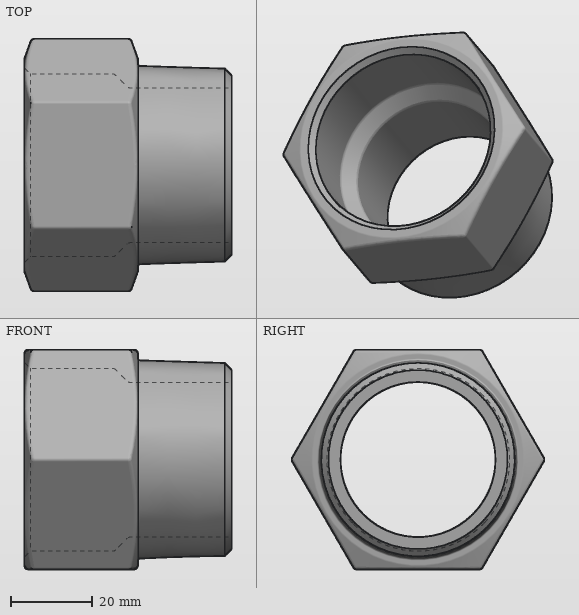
import cadquery as cq
import math

across_flats = 54.0
hex_length = 28.0
face_circle_radius = 26.0
hex_chamfer_angle = 20.0
hex_fillet = 1.0
envelope_margin = 1.0

total_length = 51.0
root_fillet = 0.4
spigot_base_radius = 24.38
taper_per_side = 1 / 32
tip_chamfer = 1.75

socket_diameter = 44.845
socket_mouth_diameter = 47.803
socket_depth = 22.1
throat_radius = 19.0
seat_fillet = 1.0

corner_radius = across_flats / math.sqrt(3)
socket_radius = socket_diameter / 2
socket_mouth_radius = socket_mouth_diameter / 2
mouth_chamfer = socket_mouth_radius - socket_radius
seat_end = socket_depth + socket_radius - throat_radius
spigot_overlap_x = hex_length / 2
spigot_start = hex_length + root_fillet
tip_start = total_length - tip_chamfer
tip_radius = spigot_base_radius - taper_per_side * (tip_start - spigot_start)


def revolve_about_x(profile):
    """Turn an (X, radius) profile a full turn about the X axis."""
    return profile.close().revolve(360, (0, 0, 0), (1, 0, 0))


def hex_body():
    """Hexagon with coned, rounded corners at both ends."""
    prism = (
        cq.Workplane("YZ")
        .polygon(6, 2 * corner_radius)
        .extrude(hex_length)
    )
    outer_radius = corner_radius + envelope_margin
    cone_depth = (outer_radius - face_circle_radius) * math.tan(math.radians(hex_chamfer_angle))
    cone_envelope = revolve_about_x(
        cq.Workplane("XZ")
        .lineTo(0, face_circle_radius)
        .lineTo(cone_depth, outer_radius)
        .lineTo(hex_length - cone_depth, outer_radius)
        .lineTo(hex_length, face_circle_radius)
        .lineTo(hex_length, 0)
    )
    face_circles = cq.selectors.RadiusNthSelector(0)
    cone_envelope = cone_envelope.edges(face_circles).fillet(hex_fillet)
    return prism.intersect(cone_envelope).edges("|X or %HYPERBOLA").fillet(hex_fillet)


def spigot():
    """Concave root fillet, tapered thread body and chamfered tip."""
    return revolve_about_x(
        cq.Workplane("XZ")
        .moveTo(spigot_overlap_x, 0)
        .lineTo(spigot_overlap_x, spigot_base_radius + root_fillet)
        .lineTo(hex_length, spigot_base_radius + root_fillet)
        .radiusArc((spigot_start, spigot_base_radius), -root_fillet)
        .lineTo(tip_start, tip_radius)
        .lineTo(total_length, tip_radius - tip_chamfer)
        .lineTo(total_length, 0)
    )


def bore():
    """Through cavity: chamfered socket, 45 degree seat with rounded edges, throat."""
    cavity = revolve_about_x(
        cq.Workplane("XZ")
        .lineTo(0, socket_mouth_radius)
        .lineTo(mouth_chamfer, socket_radius)
        .lineTo(socket_depth, socket_radius)
        .lineTo(seat_end, throat_radius)
        .lineTo(total_length, throat_radius)
        .lineTo(total_length, 0)
    )
    seat_zone = cq.selectors.BoxSelector(
        (socket_depth - seat_fillet, -corner_radius, -corner_radius),
        (seat_end + seat_fillet, corner_radius, corner_radius),
        boundingbox=True,
    )
    return cavity.edges(seat_zone).fillet(seat_fillet)


result = hex_body().union(spigot()).cut(bore())